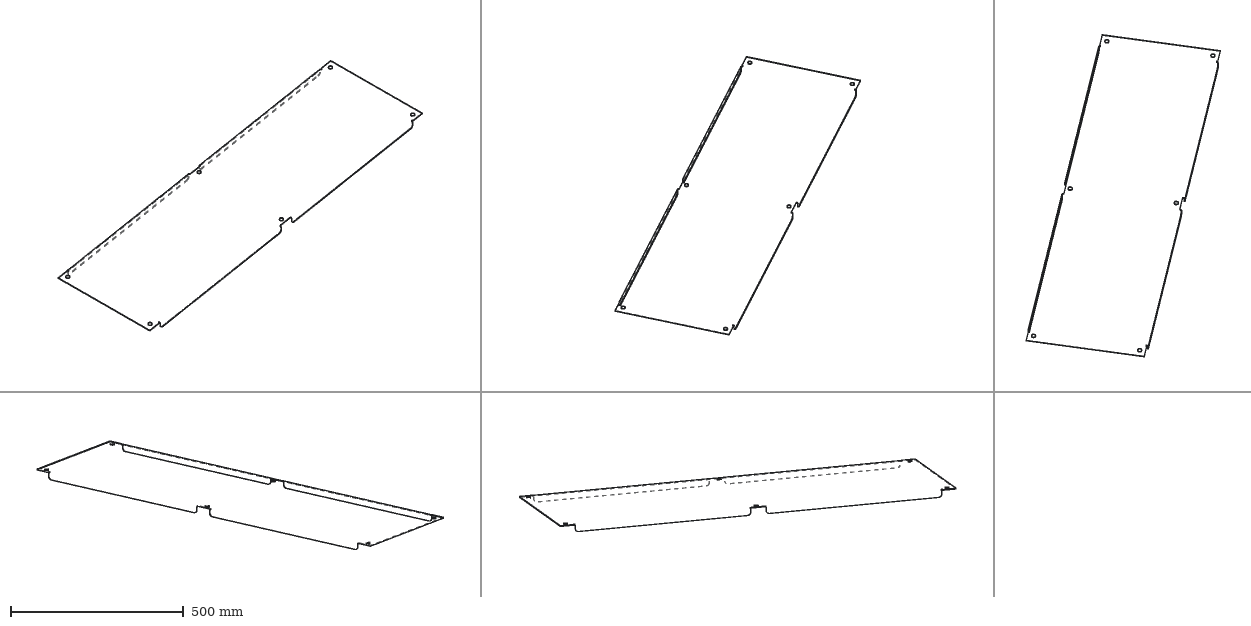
import cadquery as cq
import math

length = 1219.0
width = 354.0
thickness = 2.9
flange_drop = 20.0
height = flange_drop + thickness
bend_radius = 6.0

end_setback = 45.0
middle_gap = 48.0
flange_corner_radius = 10.0

end_width = 347.0
relief_length = 4.0

hole_diameter = 12.0
hole_spacing_x = 312.0
hole_spacing_y = 588.0

bend_line_x = width / 2 - bend_radius
flange_length = length / 2 - end_setback - middle_gap / 2
flange_center_y = (middle_gap + flange_length) / 2
end_strip_length = end_setback - relief_length


def make_plate():
    """Flat plate, narrow between its two wider end strips."""
    plate = cq.Workplane("XY").box(2 * bend_line_x, length, thickness, centered=(True, True, False))
    for side in (-1, 1):
        strip_y = side * (length - end_strip_length) / 2
        strip = (
            cq.Workplane("XY")
            .center(0, strip_y)
            .box(end_width, end_strip_length, thickness, centered=(True, True, False))
        )
        plate = plate.union(strip)
    return plate.translate((0, 0, -thickness))


def make_flange(center_y):
    """Bent flange on the +X side with rounded lower corners."""
    outer_x = width / 2
    inner_x = outer_x - thickness
    arc_center_z = -bend_radius
    inner_radius = bend_radius - thickness
    diagonal = math.cos(math.pi / 4)
    profile = (
        cq.Workplane("XZ")
        .moveTo(bend_line_x, 0)
        .threePointArc(
            (bend_line_x + bend_radius * diagonal, arc_center_z + bend_radius * diagonal),
            (outer_x, arc_center_z),
        )
        .lineTo(outer_x, -height)
        .lineTo(inner_x, -height)
        .lineTo(inner_x, arc_center_z)
        .threePointArc(
            (bend_line_x + inner_radius * diagonal, arc_center_z + inner_radius * diagonal),
            (bend_line_x, -thickness),
        )
        .close()
    )
    flange = profile.extrude(flange_length / 2, both=True)
    flange = flange.faces("<Z").edges("|X").fillet(flange_corner_radius)
    return flange.translate((0, center_y, 0))


result = make_plate()
for center_y in (-flange_center_y, flange_center_y):
    flange = make_flange(center_y)
    result = result.union(flange).union(flange.mirror("YZ"))

holes = (
    cq.Workplane("XY")
    .rarray(hole_spacing_x, hole_spacing_y, 2, 3)
    .circle(hole_diameter / 2)
    .extrude(-thickness)
)
result = result.cut(holes)